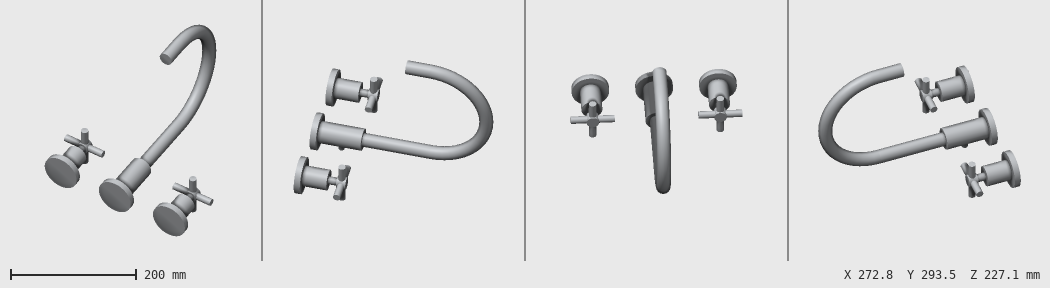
import cadquery as cq

flange_diameter = 60.0
flange_thickness = 10.0

handle_spacing = 203.0
handle_body_diameter = 33.5
handle_body_end = 50.0
stem_diameter = 13.0
hub_diameter = 20.0
hub_length = 15.3
bar_diameter = 11.7
bar_length = 69.8
bar_axis_y = 71.5

sleeve_diameter = 35.8
sleeve_end = 80.7
sleeve_edge_chamfer = 0.3
tube_diameter = 22.3
spout_reach = 293.5
spout_top = 192.2
tip_y = 152.0

screw_diameter = 10.0
screw_axis_y = 45.0
screw_drop = 28.2

upper_run_z = spout_top - tube_diameter / 2
bend_radius = upper_run_z / 2
bend_apex_y = spout_reach - tube_diameter / 2
bend_start_y = bend_apex_y - bend_radius


def cylinder_along_y(diameter, start, end):
    """Cylinder on the Y axis between two Y positions."""
    return (
        cq.Workplane("XZ", origin=(0, start, 0))
        .circle(diameter / 2)
        .extrude(start - end)
    )


def make_flange():
    return cylinder_along_y(flange_diameter, 0, flange_thickness)


def make_cross_bar(plane):
    """Grip bar centred on the handle axis, along the plane's normal."""
    return (
        cq.Workplane(plane, origin=(0, bar_axis_y, 0))
        .circle(bar_diameter / 2)
        .extrude(bar_length / 2, both=True)
    )


def make_handle(x):
    """Cross handle: flange, body, stem, hub and two crossing bars."""
    hub_start = bar_axis_y - hub_length / 2
    hub_end = bar_axis_y + hub_length / 2
    body = cylinder_along_y(handle_body_diameter, flange_thickness, handle_body_end)
    stem = cylinder_along_y(stem_diameter, handle_body_end, hub_start)
    hub = cylinder_along_y(hub_diameter, hub_start, hub_end)
    handle = make_flange().union(body).union(stem).union(hub)
    for plane in ("YZ", "XY"):
        handle = handle.union(make_cross_bar(plane))
    return handle.translate((x, 0, 0))


def make_tube():
    """Solid round tube swept out of the sleeve, around the bend and back to the tip."""
    path = (
        cq.Workplane("YZ")
        .moveTo(sleeve_end, 0)
        .lineTo(bend_start_y, 0)
        .threePointArc((bend_apex_y, bend_radius), (bend_start_y, upper_run_z))
        .lineTo(tip_y, upper_run_z)
    )
    return (
        cq.Workplane("XZ", origin=(0, sleeve_end, 0))
        .circle(tube_diameter / 2)
        .sweep(path)
    )


def make_set_screw():
    return (
        cq.Workplane("XY", origin=(0, screw_axis_y, 0))
        .circle(screw_diameter / 2)
        .extrude(-screw_drop)
    )


def make_spout():
    """Spout: flange, sleeve with a broken outer edge, set screw and tube."""
    sleeve = cylinder_along_y(sleeve_diameter, flange_thickness, sleeve_end)
    sleeve = sleeve.faces(">Y").edges().chamfer(sleeve_edge_chamfer)
    return make_flange().union(sleeve).union(make_set_screw()).union(make_tube())


spout = make_spout()
handles = [make_handle(side * handle_spacing / 2) for side in (-1, 1)]

result = cq.Compound.makeCompound([spout.val(), *[handle.val() for handle in handles]])